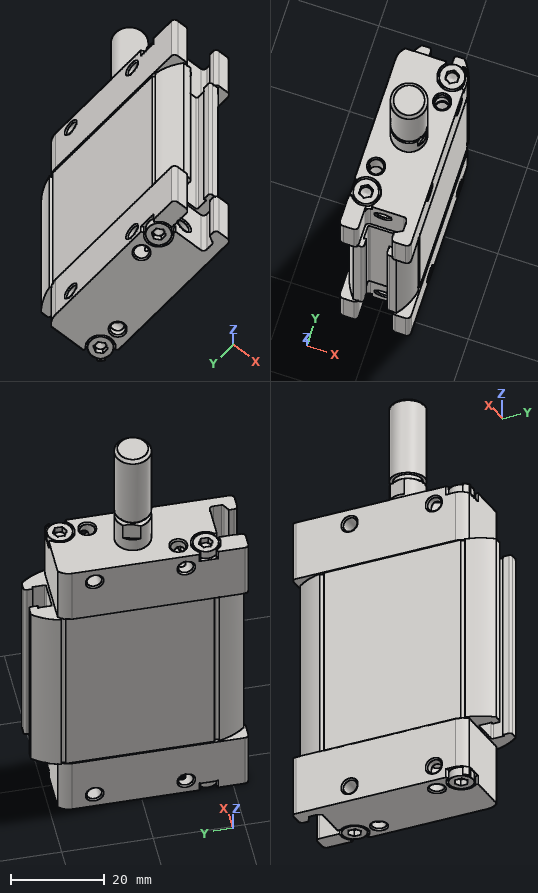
import cadquery as cq
import math

BODY_HEIGHT = 72.0
CAP_HEIGHT = 14.0
TOTAL_HEIGHT = 99.0
BARREL_HEIGHT = BODY_HEIGHT - 2 * CAP_HEIGHT

CAP_HALF_WIDTH = 8.0
CAP_FRONT_Y = -23.8
CAP_BACK_Y = 17.8
CAP_BACK_HALF_WIDTH = 6.7
CAP_BACK_CURVE_START_Y = 15.0
CAP_BACK_CURVE_RADIUS = 4.0
CAP_FRONT_FILLET = 1.0

CAP_SLOT_FLOOR_Y = -17.8
CAP_SLOT_HALF_WIDTH = 3.8
CAP_SLOT_UNDERCUT_X = 5.5
CAP_UNDERCUT_END_Y = -20.8
CAP_UNDERCUT_LIP_Y = -21.8
CAP_SLOT_FILLET = 0.9
CAP_UNDERCUT_FILLET = 0.5

SCREW_X = 4.8
SCREW_Y = 14.9
RECESS_DIAMETER = 6.4
RECESS_DEPTH = 2.1
SIDE_NOTCH_INNER_WIDTH = 3.4
SIDE_NOTCH_MOUTH_WIDTH = 4.2
END_NOTCH_WALL_OFFSET = 2.3
SCREW_HEAD_DIAMETER = 5.5
SOCKET_ACROSS_FLATS = 2.7
SOCKET_DEPTH = 1.5

DRILL_DIAMETER = 3.3
COUNTERSINK_DIAMETER = 4.0
DRILL_POINT_ANGLE = 118.0
END_HOLE_X = 4.5
END_HOLE_Y = 9.0
END_HOLE_DEPTH = 6.0
CROSS_HOLE_Y = 10.0
CROSS_HOLE_INSET = 3.6
PORT_INSET = 5.0
PORT_DEPTH = 7.2

BARREL_HALF_WIDTH = 7.7
BARREL_HALF_LENGTH = 23.3
BARREL_END_HALF_WIDTH = 4.9
BARREL_CURVE_START_Y = 17.2
BARREL_CURVE_RADIUS = 13.4
BARREL_SLOT_MOUTH_HALF_WIDTH = 2.6
BARREL_SLOT_HALF_WIDTH = 3.2
BARREL_SLOT_FLOOR_Y = 18.3
BARREL_SLOT_LIP_Y = 21.3
BARREL_MOUTH_RADIUS = 0.6
BARREL_FLOOR_RADIUS = 0.4
BARREL_GROOVE_RADIUS = 0.5

ROD_DIAMETER = 8.0
ROD_TIP_CHAMFER = 0.7
NECK_DIAMETER = 6.4
TIP_LENGTH = 18.5
NECK_LENGTH = 1.5
NECK_SHOULDER_HEIGHT = 0.5
FLAT_LENGTH = 3.8
FLATS_ACROSS = 7.0
FLATS_ANGLE = -15.0


def drill_point_length(radius):
    """Length of the cone that a drill of this radius leaves at the bottom of its hole."""
    return radius / math.tan(math.radians(DRILL_POINT_ANGLE / 2))


def countersunk_drill(depth, pointed):
    """Cutter along +Z from the origin: countersink, straight hole and optional drill point."""
    hole_radius = DRILL_DIAMETER / 2
    sink_radius = COUNTERSINK_DIAMETER / 2
    sink_depth = sink_radius - hole_radius
    profile = (
        cq.Workplane("XZ")
        .moveTo(0, 0)
        .lineTo(sink_radius, 0)
        .lineTo(hole_radius, sink_depth)
        .lineTo(hole_radius, depth)
    )
    if pointed:
        profile = profile.lineTo(0, depth + drill_point_length(hole_radius))
    else:
        profile = profile.lineTo(0, depth)
    return profile.close().revolve(360, (0, 0, 0), (0, 1, 0))


def cap_blank():
    """Cap block: rounded front corners and curved back corners."""
    return (
        cq.Workplane("XY")
        .moveTo(-CAP_HALF_WIDTH, CAP_FRONT_Y)
        .lineTo(CAP_HALF_WIDTH, CAP_FRONT_Y)
        .lineTo(CAP_HALF_WIDTH, CAP_BACK_CURVE_START_Y)
        .radiusArc((CAP_BACK_HALF_WIDTH, CAP_BACK_Y), -CAP_BACK_CURVE_RADIUS)
        .lineTo(-CAP_BACK_HALF_WIDTH, CAP_BACK_Y)
        .radiusArc((-CAP_HALF_WIDTH, CAP_BACK_CURVE_START_Y), -CAP_BACK_CURVE_RADIUS)
        .close()
        .extrude(CAP_HEIGHT)
        .edges("|Z and <Y")
        .fillet(CAP_FRONT_FILLET)
    )


def cut_cap_slot(cap):
    """Full-height slot in the front face, with rounded floor, undercut and mouth corners."""
    slot = (
        cq.Workplane("XY")
        .moveTo(-CAP_SLOT_HALF_WIDTH, CAP_FRONT_Y)
        .lineTo(-CAP_SLOT_HALF_WIDTH, CAP_SLOT_FLOOR_Y)
        .lineTo(CAP_SLOT_UNDERCUT_X, CAP_SLOT_FLOOR_Y)
        .lineTo(CAP_SLOT_UNDERCUT_X, CAP_UNDERCUT_END_Y)
        .lineTo(CAP_SLOT_HALF_WIDTH, CAP_UNDERCUT_LIP_Y)
        .lineTo(CAP_SLOT_HALF_WIDTH, CAP_FRONT_Y)
        .close()
        .extrude(CAP_HEIGHT)
    )
    slot = slot.faces(">Y").edges("|Z").fillet(CAP_SLOT_FILLET)
    slot = slot.faces(">X").edges("|Z and <Y").fillet(CAP_UNDERCUT_FILLET)
    cap = cap.cut(slot)
    mouth_edges = cq.selectors.BoxSelector(
        (-CAP_SLOT_HALF_WIDTH - CAP_SLOT_FILLET, CAP_FRONT_Y - CAP_SLOT_FILLET, 0),
        (CAP_SLOT_HALF_WIDTH + CAP_SLOT_FILLET, CAP_FRONT_Y + CAP_SLOT_FILLET, CAP_HEIGHT),
    )
    return cap.edges("|Z").edges(mouth_edges).fillet(CAP_SLOT_FILLET)


def hex_socket_cutter():
    """Hexagon socket with corners along Y and a drill point, its mouth at Z = 0."""
    point_radius = SOCKET_ACROSS_FLATS / 2
    point_length = drill_point_length(point_radius)
    hexagon = (
        cq.Workplane("XY")
        .polygon(6, SOCKET_ACROSS_FLATS / math.cos(math.pi / 6))
        .extrude(-SOCKET_DEPTH)
        .rotate((0, 0, 0), (0, 0, 1), 90)
    )
    point = cq.Solid.makeCone(
        point_radius, 0, point_length, pnt=cq.Vector(0, 0, -SOCKET_DEPTH), dir=cq.Vector(0, 0, -1)
    )
    return hexagon.union(cq.Workplane(point))


def screw_recess_cutter():
    """Ring around the screw head at (-X, -Y), with notches to the side face and the slot."""
    circle_radius = RECESS_DIAMETER / 2
    inner_half = SIDE_NOTCH_INNER_WIDTH / 2
    mouth_half = SIDE_NOTCH_MOUTH_WIDTH / 2
    flare_start = -math.sqrt(circle_radius**2 - inner_half**2)
    side_face = SCREW_X - CAP_HALF_WIDTH
    slot_wall = SCREW_X - CAP_SLOT_HALF_WIDTH
    end_reach = SCREW_Y + CAP_SLOT_FLOOR_Y - CAP_SLOT_FILLET

    pocket = cq.Workplane("XY").circle(circle_radius).extrude(-RECESS_DEPTH)
    side_notch = (
        cq.Workplane("XY")
        .moveTo(0, -inner_half)
        .lineTo(flare_start, -inner_half)
        .lineTo(side_face, -mouth_half)
        .lineTo(side_face, mouth_half)
        .lineTo(flare_start, inner_half)
        .lineTo(0, inner_half)
        .close()
        .extrude(-RECESS_DEPTH)
    )
    end_notch = (
        cq.Workplane("XY")
        .moveTo(slot_wall, 0)
        .lineTo(slot_wall, end_reach)
        .lineTo(END_NOTCH_WALL_OFFSET, end_reach)
        .lineTo(END_NOTCH_WALL_OFFSET, 0)
        .close()
        .extrude(-RECESS_DEPTH)
    )
    head = cq.Workplane("XY").circle(SCREW_HEAD_DIAMETER / 2).extrude(-RECESS_DEPTH)
    cutter = pocket.union(side_notch).union(end_notch).cut(head).union(hex_socket_cutter())
    return cutter.translate((-SCREW_X, -SCREW_Y, CAP_HEIGHT))


def make_cap():
    """Cap with its end face up."""
    cap = cut_cap_slot(cap_blank())

    recess = screw_recess_cutter()
    end_hole = (
        countersunk_drill(END_HOLE_DEPTH, pointed=True)
        .rotate((0, 0, 0), (1, 0, 0), 180)
        .translate((-END_HOLE_X, -END_HOLE_Y, CAP_HEIGHT))
    )
    for turn in (0, 180):
        for cutter in (recess, end_hole):
            cap = cap.cut(cutter.rotate((0, 0, 0), (0, 0, 1), turn))

    half_cross_hole = (
        countersunk_drill(CAP_HALF_WIDTH, pointed=False)
        .rotate((0, 0, 0), (0, 1, 0), 90)
        .translate((-CAP_HALF_WIDTH, CROSS_HOLE_Y, CAP_HEIGHT - CROSS_HOLE_INSET))
    )
    cross_hole = half_cross_hole.union(half_cross_hole.mirror("YZ"))
    cap = cap.cut(cross_hole).cut(cross_hole.mirror("XZ"))

    port = (
        countersunk_drill(PORT_DEPTH, pointed=True)
        .rotate((0, 0, 0), (1, 0, 0), -90)
        .translate((0, CAP_SLOT_FLOOR_Y, CAP_HEIGHT - PORT_INSET))
    )
    return cap.cut(port)


def make_top_cap():
    """Cap on top of the barrel, bored through for the rod."""
    rod_bore = cq.Workplane("XY").circle(ROD_DIAMETER / 2).extrude(CAP_HEIGHT)
    return make_cap().cut(rod_bore).translate((0, 0, BODY_HEIGHT - CAP_HEIGHT))


def make_bottom_cap():
    """Same cap turned end face down, without the rod bore."""
    return make_cap().mirror("XY").translate((0, 0, CAP_HEIGHT))


def barrel_slot():
    """T-slot in the +Y end of the barrel, with a rounded mouth and floor corners."""
    half = (
        cq.Workplane("XY")
        .moveTo(0, BARREL_SLOT_FLOOR_Y)
        .lineTo(BARREL_SLOT_HALF_WIDTH - BARREL_FLOOR_RADIUS, BARREL_SLOT_FLOOR_Y)
        .radiusArc(
            (BARREL_SLOT_HALF_WIDTH, BARREL_SLOT_FLOOR_Y + BARREL_FLOOR_RADIUS),
            -BARREL_FLOOR_RADIUS,
        )
        .lineTo(BARREL_SLOT_HALF_WIDTH, BARREL_SLOT_LIP_Y)
        .lineTo(BARREL_SLOT_MOUTH_HALF_WIDTH, BARREL_SLOT_LIP_Y)
        .lineTo(BARREL_SLOT_MOUTH_HALF_WIDTH, BARREL_HALF_LENGTH - BARREL_MOUTH_RADIUS)
        .radiusArc(
            (BARREL_SLOT_MOUTH_HALF_WIDTH + BARREL_MOUTH_RADIUS, BARREL_HALF_LENGTH),
            BARREL_MOUTH_RADIUS,
        )
        .lineTo(0, BARREL_HALF_LENGTH)
        .close()
        .extrude(BARREL_HEIGHT)
    )
    return half.union(half.mirror("YZ"))


def make_barrel():
    """Extruded barrel with curved ends, a T-slot in each end and a round groove beside each curve."""
    x_side = BARREL_HALF_WIDTH
    x_end = BARREL_END_HALF_WIDTH
    y_side = BARREL_CURVE_START_Y
    y_end = BARREL_HALF_LENGTH
    barrel = (
        cq.Workplane("XY")
        .moveTo(x_side, -y_side)
        .lineTo(x_side, y_side)
        .radiusArc((x_end, y_end), -BARREL_CURVE_RADIUS)
        .lineTo(-x_end, y_end)
        .radiusArc((-x_side, y_side), -BARREL_CURVE_RADIUS)
        .lineTo(-x_side, -y_side)
        .radiusArc((-x_end, -y_end), -BARREL_CURVE_RADIUS)
        .lineTo(x_end, -y_end)
        .radiusArc((x_side, -y_side), -BARREL_CURVE_RADIUS)
        .close()
        .extrude(BARREL_HEIGHT)
    )
    slot = barrel_slot()
    barrel = barrel.cut(slot).cut(slot.mirror("XZ"))

    groove_y = y_side - BARREL_GROOVE_RADIUS
    grooves = (
        cq.Workplane("XY")
        .rect(2 * x_side, 2 * groove_y, forConstruction=True)
        .vertices()
        .circle(BARREL_GROOVE_RADIUS)
        .extrude(BARREL_HEIGHT)
    )
    return barrel.cut(grooves).translate((0, 0, CAP_HEIGHT))


def make_rod():
    """Rod seated on the barrel, with a necked groove and two wrench flats below it."""
    radius = ROD_DIAMETER / 2
    neck_radius = NECK_DIAMETER / 2
    rod_bottom = BODY_HEIGHT - CAP_HEIGHT
    neck_top = TOTAL_HEIGHT - TIP_LENGTH
    neck_bottom = neck_top - NECK_LENGTH
    rod = (
        cq.Workplane("XZ")
        .moveTo(0, rod_bottom)
        .lineTo(radius, rod_bottom)
        .lineTo(radius, neck_bottom)
        .lineTo(neck_radius, neck_bottom + NECK_SHOULDER_HEIGHT)
        .lineTo(neck_radius, neck_top)
        .lineTo(radius, neck_top)
        .lineTo(radius, TOTAL_HEIGHT - ROD_TIP_CHAMFER)
        .lineTo(radius - ROD_TIP_CHAMFER, TOTAL_HEIGHT)
        .lineTo(0, TOTAL_HEIGHT)
        .close()
        .revolve(360, (0, 0, 0), (0, 1, 0))
    )
    flat_cutter = (
        cq.Workplane("XY")
        .box(radius, ROD_DIAMETER, FLAT_LENGTH + NECK_LENGTH, centered=(False, True, False))
        .translate((FLATS_ACROSS / 2, 0, neck_bottom - FLAT_LENGTH))
    )
    for turn in (0, 180):
        rod = rod.cut(flat_cutter.rotate((0, 0, 0), (0, 0, 1), FLATS_ANGLE + turn))
    return rod


top_cap = make_top_cap()
bottom_cap = make_bottom_cap()
barrel = make_barrel()
rod = make_rod()

result = cq.Compound.makeCompound([top_cap.val(), bottom_cap.val(), barrel.val(), rod.val()])